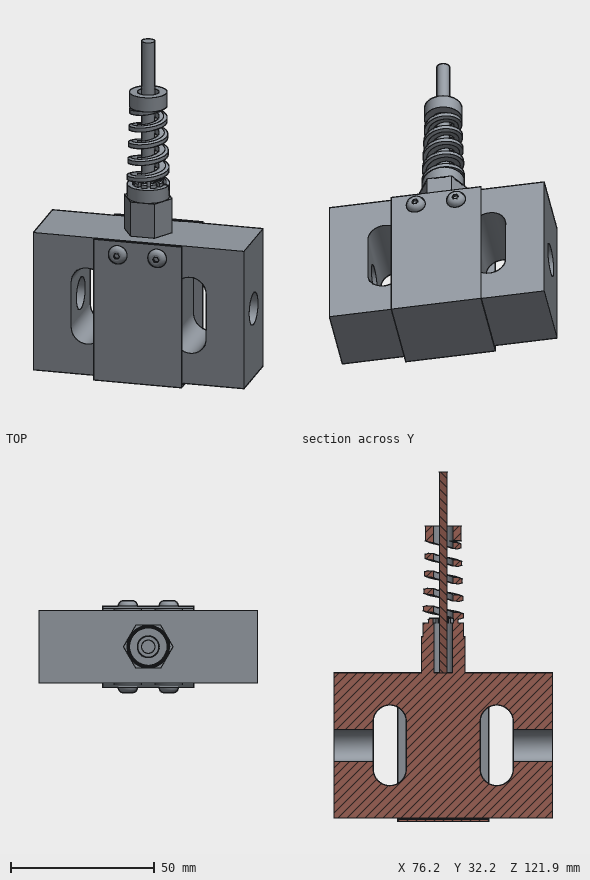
import cadquery as cq
import math

BLOCK_LENGTH = 76.2
BLOCK_DEPTH = 25.4
BLOCK_BOTTOM = 1.2
BLOCK_TOP = 51.9
SLOT_WIDTH = 11.5
SLOT_HEIGHT = 28.0
SLOT_OFFSET = 18.7
END_HOLE_DIAMETER = 11.6

COVER_LENGTH = 31.8
COVER_THICKNESS = 0.7
COVER_FLOOR = 0.9

WASHER_DIAMETER = 9.5
WASHER_THICKNESS = 0.7
SCREW_SPACING = 14.3
SCREW_DROP = 4.9
HEAD_DIAMETER = 6.7
HEAD_CROWN_DIAMETER = 3.5
HEAD_RIM_HEIGHT = 0.4
HEAD_DOME_RADIUS = 2.0
SOCKET_DIAMETER = 2.2
SOCKET_DEPTH = 1.0
OVERALL_DEPTH = 32.2

GLAND_BORE = 7.3
HEX_ACROSS_FLATS = 15.0
HEX_HEIGHT = 12.5
COLLAR_DIAMETER = 14.8
COLLAR_HEIGHT = 4.8
FINGER_DIAMETER = 11.1
FINGER_HEIGHT = 1.7
FINGER_COUNT = 10
FINGER_GAP = 1.2
FINGER_CHAMFER = 0.5
RING_DIAMETER = 13.2
RING_BORE = 7.5
RING_BOTTOM = 97.9
RING_HEIGHT = 5.2

SPRING_PITCH = 6.1
STRIP_HEIGHT = 2.3
STRIP_RIM_HEIGHT = 1.5
STRIP_RIM_WIDTH = 1.2
STRIP_INNER_RADIUS = 3.5
SPRING_TURNS = 5
SPRING_EMBED = 0.9
SPRING_BOTTOM_DIAMETER = 15.0
SPRING_TOP_DIAMETER = 12.8

CABLE_DIAMETER = 4.6
CABLE_TOP = 121.9

block_height = BLOCK_TOP - BLOCK_BOTTOM
block_middle = (BLOCK_TOP + BLOCK_BOTTOM) / 2
cover_inner_y = BLOCK_DEPTH / 2 + WASHER_THICKNESS
cover_outer_y = cover_inner_y + COVER_THICKNESS
screw_z = BLOCK_TOP - SCREW_DROP
collar_bottom = BLOCK_TOP + HEX_HEIGHT
collar_top = collar_bottom + COLLAR_HEIGHT


def cylinder(diameter, bottom, height):
    return cq.Workplane("XY").workplane(offset=bottom).circle(diameter / 2).extrude(height)


def make_block():
    block = cq.Workplane("XY").box(BLOCK_LENGTH, BLOCK_DEPTH, block_height)
    slots = (
        cq.Workplane("XZ")
        .pushPoints([(-SLOT_OFFSET, 0), (SLOT_OFFSET, 0)])
        .slot2D(SLOT_HEIGHT, SLOT_WIDTH, 90)
        .extrude(BLOCK_DEPTH / 2, both=True)
    )
    block = block.cut(slots)
    for side in (-1, 1):
        end_hole = (
            cq.Workplane("YZ")
            .workplane(offset=side * SLOT_OFFSET)
            .circle(END_HOLE_DIAMETER / 2)
            .extrude(side * (BLOCK_LENGTH / 2 - SLOT_OFFSET))
        )
        block = block.cut(end_hole)
    return block.translate((0, 0, block_middle))


def make_cover():
    outer = cq.Workplane("XY").box(COVER_LENGTH, 2 * cover_outer_y, BLOCK_TOP, centered=(True, True, False))
    inner = cq.Workplane("XY").box(COVER_LENGTH, 2 * cover_inner_y, BLOCK_TOP, centered=(True, True, False))
    return outer.cut(inner.translate((0, 0, COVER_FLOOR)))


def make_fastener():
    """Washer and screw head with their axis along Z, the washer resting on Z = 0."""
    washer = cylinder(WASHER_DIAMETER, 0, WASHER_THICKNESS)
    head_bottom = WASHER_THICKNESS + COVER_THICKNESS
    head_height = OVERALL_DEPTH / 2 - cover_outer_y
    head_top = head_bottom + head_height
    head = (
        cq.Workplane("XZ")
        .moveTo(0, head_bottom)
        .lineTo(HEAD_DIAMETER / 2, head_bottom)
        .lineTo(HEAD_DIAMETER / 2, head_bottom + HEAD_RIM_HEIGHT)
        .radiusArc((HEAD_CROWN_DIAMETER / 2, head_top), -HEAD_DOME_RADIUS)
        .lineTo(0, head_top)
        .close()
        .revolve(360, (0, 0, 0), (0, 1, 0))
    )
    socket = (
        cq.Workplane("XY")
        .workplane(offset=head_top - SOCKET_DEPTH)
        .polygon(6, SOCKET_DIAMETER)
        .extrude(SOCKET_DEPTH)
    )
    return washer.union(head.cut(socket))


def make_fingers():
    fingers = cylinder(FINGER_DIAMETER, collar_top, FINGER_HEIGHT).faces(">Z").edges().chamfer(FINGER_CHAMFER)
    gap = (
        cq.Workplane("XY")
        .box(FINGER_DIAMETER, FINGER_GAP, FINGER_HEIGHT, centered=(False, True, False))
        .translate((0, 0, collar_top))
    )
    finger_angle = 360 / FINGER_COUNT
    for index in range(FINGER_COUNT):
        fingers = fingers.cut(gap.rotate((0, 0, 0), (0, 0, 1), index * finger_angle))
    return fingers


def make_spring():
    """Strip wound on a cone around a straight bore, its two ends sunk into the collar and the end ring."""
    bottom = collar_top - SPRING_EMBED
    height = SPRING_TURNS * SPRING_PITCH
    bottom_radius = SPRING_BOTTOM_DIAMETER / 2
    taper_angle = math.degrees(math.atan((SPRING_BOTTOM_DIAMETER - SPRING_TOP_DIAMETER) / 2 / height))
    path = cq.Wire.makeHelix(SPRING_PITCH, height, bottom_radius, cq.Vector(0, 0, bottom), angle=-taper_angle)
    shoulder = bottom_radius - STRIP_RIM_WIDTH
    strip = (
        cq.Workplane("XZ")
        .moveTo(bottom_radius, bottom - STRIP_RIM_HEIGHT / 2)
        .lineTo(bottom_radius, bottom + STRIP_RIM_HEIGHT / 2)
        .lineTo(shoulder, bottom + STRIP_HEIGHT / 2)
        .lineTo(STRIP_INNER_RADIUS, bottom + STRIP_HEIGHT / 2)
        .lineTo(STRIP_INNER_RADIUS, bottom - STRIP_HEIGHT / 2)
        .lineTo(shoulder, bottom - STRIP_HEIGHT / 2)
        .close()
        .sweep(cq.Workplane(path), isFrenet=True)
    )
    bore = cylinder(RING_BORE, bottom - STRIP_HEIGHT, height + 2 * STRIP_HEIGHT)
    return strip.cut(bore)


def make_gland():
    corner_diameter = HEX_ACROSS_FLATS / math.cos(math.pi / 6)
    gland = cq.Workplane("XY").workplane(offset=BLOCK_TOP).polygon(6, corner_diameter).extrude(HEX_HEIGHT)
    gland = gland.union(cylinder(COLLAR_DIAMETER, collar_bottom, COLLAR_HEIGHT))
    gland = gland.union(make_fingers())
    gland = gland.cut(cylinder(GLAND_BORE, BLOCK_TOP, collar_top + FINGER_HEIGHT - BLOCK_TOP))
    ring = cylinder(RING_DIAMETER, RING_BOTTOM, RING_HEIGHT)
    ring = ring.cut(cylinder(RING_BORE, RING_BOTTOM, RING_HEIGHT))
    return gland.union(make_spring(), clean=False).union(ring, clean=False)


def make_load_cell():
    """Block with its cover, fasteners and gland as one solid."""
    load_cell = make_block()
    front = make_fastener().rotate((0, 0, 0), (1, 0, 0), 90)
    back = make_fastener().rotate((0, 0, 0), (1, 0, 0), -90)
    for x in (-SCREW_SPACING / 2, SCREW_SPACING / 2):
        load_cell = load_cell.union(front.translate((x, -BLOCK_DEPTH / 2, screw_z)))
        load_cell = load_cell.union(back.translate((x, BLOCK_DEPTH / 2, screw_z)))
    return load_cell.union(make_cover()).union(make_gland(), clean=False)


def make_cable():
    """Cable standing on the block, clear of the gland bore all around."""
    return cylinder(CABLE_DIAMETER, BLOCK_TOP, CABLE_TOP - BLOCK_TOP)


load_cell = make_load_cell()
cable = make_cable()
result = cq.Compound.makeCompound([*load_cell.solids().vals(), cable.val()])